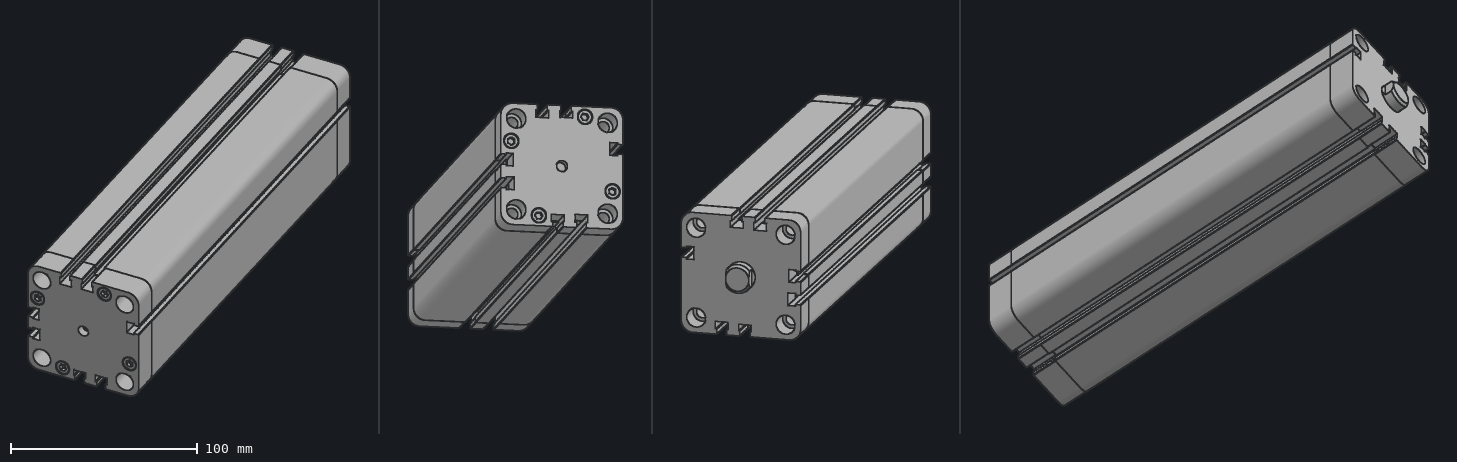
import cadquery as cq
import math

profile_side = 67.0
cap_side = 66.8
half_side = profile_side / 2
corner_radius = 6.5
housing_length = 246.0
cap_length = 15.0

deep_slot_offset = -10.7
shallow_slot_offset = 2.3
slot_wide_width = 7.0
slot_lip = 3.1
mouth_chamfer = 0.3
cap_deep_depth = 7.3
profile_deep_depth = 7.5
deep_slot_neck = 5.3
cap_shallow_depth = 6.7
cap_shallow_neck = 5.7
profile_shallow_depth = 6.0
profile_shallow_neck = 5.0

quarter_turns = (0, 90, 180, 270)
shallow_slot_turns = quarter_turns[:3]

mount_pitch = 50.0
mount_hole_diameter = 6.65
mount_bore_diameter = 10.5
mount_bore_depth = 12.0

screw_side_offset = 12.6
screw_face_offset = 27.7
screw_bore_diameter = 8.25
screw_bore_depth = 5.0
screw_head_diameter = 8.0
screw_head_chamfer = 0.25
screw_head_recess = 0.3
socket_across_flats = 3.7
socket_depth = 2.5

centre_hole_diameter = 6.0
centre_hole_depth = 5.0

rod_diameter = 16.0
rod_projection = 7.0
rod_chamfer = 1.5
flat_across = 13.0
flat_length = 5.5


def along_y(start):
    """Sketch plane facing -Y at y = start: local x is X and local y is Z."""
    return cq.Workplane("XZ", origin=(0, start, 0))


def turned(shape, angle):
    """Turn a shape about the housing axis, so that +90 carries the top face to the -X face."""
    return shape.rotate((0, 0, 0), (0, -1, 0), angle)


def slot(turn, side, offset, neck, depth, start, length):
    """T-slot cutter for the top face, with a chamfered mouth, turned about Y to another face."""
    face_z = side / 2
    lip_z = half_side - slot_lip
    floor_z = half_side - depth
    half_neck = neck / 2
    half_wide = slot_wide_width / 2
    half_mouth = half_neck + mouth_chamfer
    right_side = [
        (half_wide, floor_z),
        (half_wide, lip_z),
        (half_neck, lip_z),
        (half_neck, face_z - mouth_chamfer),
        (half_mouth, face_z),
        (half_mouth, half_side + mouth_chamfer),
    ]
    left_side = [(-x, z) for x, z in reversed(right_side)]
    outline = [(offset + x, z) for x, z in right_side + left_side]
    cutter = along_y(start).polyline(outline).close().extrude(-length)
    return turned(cutter, turn)


def section(side, start, length, shallow_neck, shallow_depth, deep_depth):
    """One length of the housing: a rounded square with deep and shallow slots."""
    block = along_y(start).rect(side, side).extrude(-length)
    radius = corner_radius - (profile_side - side) / 2
    block = block.edges("|Y").fillet(radius)
    for turn in quarter_turns:
        block = block.cut(slot(turn, side, deep_slot_offset, deep_slot_neck, deep_depth, start, length))
    for turn in shallow_slot_turns:
        block = block.cut(slot(turn, side, shallow_slot_offset, shallow_neck, shallow_depth, start, length))
    return block


def cap(start):
    return section(cap_side, start, cap_length, cap_shallow_neck, cap_shallow_depth, cap_deep_depth)


def housing():
    profile_length = housing_length - 2 * cap_length
    profile = section(
        profile_side,
        cap_length,
        profile_length,
        profile_shallow_neck,
        profile_shallow_depth,
        profile_deep_depth,
    )
    return cap(0).union(profile).union(cap(housing_length - cap_length))


def mount_cylinders(diameter, start, length):
    corners = along_y(start).rect(mount_pitch, mount_pitch, forConstruction=True).vertices()
    return corners.circle(diameter / 2).extrude(-length)


def mount_holes():
    holes = mount_cylinders(mount_hole_diameter, 0, housing_length)
    for start in (0, housing_length - mount_bore_depth):
        holes = holes.union(mount_cylinders(mount_bore_diameter, start, mount_bore_depth))
    return holes


def screw_bore():
    place = along_y(0).center(screw_side_offset, screw_face_offset)
    return place.circle(screw_bore_diameter / 2).extrude(-screw_bore_depth)


def centre_hole():
    return along_y(0).circle(centre_hole_diameter / 2).extrude(-centre_hole_depth)


def screw_head():
    """Cap screw head with a hexagon socket, seated on the floor of its bore."""
    place = along_y(screw_head_recess).center(screw_side_offset, screw_face_offset)
    head = place.circle(screw_head_diameter / 2).extrude(screw_head_recess - screw_bore_depth)
    head = head.faces("<Y").chamfer(screw_head_chamfer)
    across_corners = socket_across_flats / math.cos(math.pi / 6)
    return head.cut(place.polygon(6, across_corners).extrude(-socket_depth))


def rod():
    """Piston rod with two wrench flats that run out to the full diameter on 45 degree ramps."""
    radius = rod_diameter / 2
    half_flat = flat_across / 2
    end_y = housing_length + rod_projection
    flat_start_y = end_y - flat_length
    ramp_start_y = flat_start_y - (radius - half_flat)
    bar = along_y(housing_length).circle(radius).extrude(-rod_projection)
    bar = bar.faces(">Y").chamfer(rod_chamfer)
    flat_profile = [(half_flat, end_y), (half_flat, flat_start_y), (radius, ramp_start_y), (radius, end_y)]
    flat_cut = cq.Workplane("XY").polyline(flat_profile).close().extrude(radius, both=True)
    return bar.cut(flat_cut).cut(flat_cut.mirror("YZ"))


result = housing().cut(mount_holes()).cut(centre_hole())
for quarter_turn in quarter_turns:
    result = result.cut(turned(screw_bore(), quarter_turn))
    result = result.union(turned(screw_head(), quarter_turn))
result = result.union(rod())